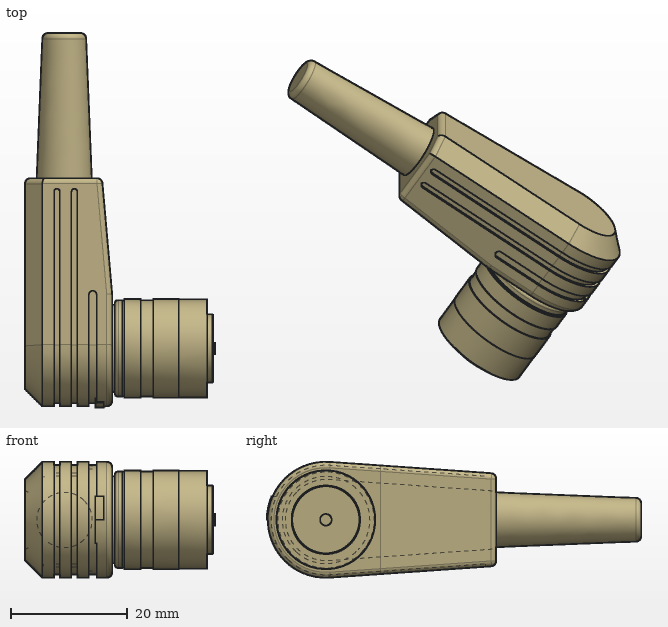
import math

import cadquery as cq


END_RADIUS = 9.975
TAPER_ANGLE = 4.0
HOUSING_WIDTH = 15.0
HOUSING_TOP = 29.25
SLOPE_START = 9.3
SLOPE_ANGLE = 5.0
BACK_CHAMFER = 3.0
EDGE_FILLET = 1.0

GROOVE_DEPTH = 0.55
GRIP_GROOVES = [(5.0, 6.0, 27.4), (8.0, 9.0, 27.4), (11.0, 12.3, 9.9)]

MARK_START = 12.1
MARK_END = 13.5
MARK_HEIGHT = 4.0
MARK_RISE = 0.175
MARK_ROOT = 8.0

SLEEVE_X = 6.75
SLEEVE_BASE_DIAMETER = 9.5
SLEEVE_TIP_DIAMETER = 7.5
SLEEVE_END = 54.15
SLEEVE_FILLET = 1.0
SLEEVE_EMBED = 3.0

NECK_DIAMETER = 15.0
NUT_START = 15.4
NUT_FILLET = 0.6
NUT_SECTIONS = [
    (16.75, 16.6),
    (17.05, 16.5),
    (19.85, 17.0),
    (22.0, 16.6),
    (26.45, 17.0),
    (31.3, 16.9),
]
NOSE_DIAMETER = 11.8
NOSE_END = 32.3
NOSE_CHAMFER = 0.15
PIN_DIAMETER = 2.0
PIN_END = 32.65


def cylinder(start, end, diameter):
    """Cylinder on the coupling axis."""
    return cq.Workplane("YZ").workplane(offset=start).circle(diameter / 2).extrude(end - start)


def housing_outline(inset=0.0):
    """Closed YZ outline: round end with two straight flanks, moved inwards by inset."""
    taper = math.radians(TAPER_ANGLE)
    radius = END_RADIUS - inset
    tangent_y = radius * math.sin(taper)
    tangent_z = radius * math.cos(taper)
    top_z = tangent_z - (HOUSING_TOP - tangent_y) * math.tan(taper)
    return (
        cq.Workplane("YZ")
        .moveTo(HOUSING_TOP, -top_z)
        .lineTo(tangent_y, -tangent_z)
        .threePointArc((-radius, 0), (tangent_y, tangent_z))
        .lineTo(HOUSING_TOP, top_z)
        .close()
    )


def leaning_cutter():
    """Wedge that trims the coupling side from SLOPE_START to the cable-side face."""
    length = HOUSING_TOP - SLOPE_START
    setback = length * math.tan(math.radians(SLOPE_ANGLE))
    return (
        cq.Workplane("XY")
        .moveTo(HOUSING_WIDTH, SLOPE_START)
        .lineTo(HOUSING_WIDTH, HOUSING_TOP)
        .lineTo(HOUSING_WIDTH - setback, HOUSING_TOP)
        .close()
        .extrude(END_RADIUS, both=True)
    )


def grip_groove(start, end, tip_y):
    """Cutter for one groove that follows the flanks and the round end."""
    half_width = (end - start) / 2
    middle = (start + end) / 2
    slot = (
        cq.Workplane("XY")
        .moveTo(start, -2 * END_RADIUS)
        .lineTo(start, tip_y - half_width)
        .threePointArc((middle, tip_y), (end, tip_y - half_width))
        .lineTo(end, -2 * END_RADIUS)
        .close()
        .extrude(2 * END_RADIUS, both=True)
    )
    return slot.cut(housing_outline(GROOVE_DEPTH).extrude(HOUSING_WIDTH))


def housing():
    """Tapered housing with its chamfer, lean, rounded rims and grip grooves."""
    body = housing_outline().extrude(HOUSING_WIDTH)
    body = body.faces("<X").edges("not >Y").chamfer(BACK_CHAMFER)
    body = body.cut(leaning_cutter())
    coupling_side = cq.selectors.BoxSelector(
        (HOUSING_WIDTH - 2 * EDGE_FILLET, -END_RADIUS, -END_RADIUS),
        (HOUSING_WIDTH + EDGE_FILLET, HOUSING_TOP - EDGE_FILLET, END_RADIUS),
    )
    coupling_rim = body.edges(coupling_side).edges("not |Z")
    cable_rim = body.faces(">Y").edges()
    body = body.newObject(coupling_rim.vals() + cable_rim.vals()).fillet(EDGE_FILLET)
    for start, end, tip_y in GRIP_GROOVES:
        body = body.cut(grip_groove(start, end, tip_y).cut(mark_step()))
    return body


def mark_block(bottom, top, reach):
    """Box around the mark's place on the round end, out to Y = -reach."""
    return cq.Workplane("XY").box(
        MARK_END - MARK_START, reach - MARK_ROOT, top - bottom, centered=False
    ).translate((MARK_START, -reach, bottom))


def mark_step():
    """Part of the last groove left uncut beside the mark."""
    return mark_block(-MARK_HEIGHT, 0, END_RADIUS + EDGE_FILLET)


def mark():
    """Raised sector just proud of the round end."""
    radius = END_RADIUS + MARK_RISE
    return cylinder(MARK_START, MARK_END, 2 * radius).intersect(mark_block(0, MARK_HEIGHT, radius))


def sleeve():
    """Cable sleeve that narrows towards its rounded tip."""
    base_radius = SLEEVE_BASE_DIAMETER / 2
    tip_radius = SLEEVE_TIP_DIAMETER / 2
    cone = (
        cq.Workplane("XY")
        .moveTo(0, HOUSING_TOP - SLEEVE_EMBED)
        .lineTo(base_radius, HOUSING_TOP - SLEEVE_EMBED)
        .lineTo(base_radius, HOUSING_TOP)
        .lineTo(tip_radius, SLEEVE_END)
        .lineTo(0, SLEEVE_END)
        .close()
        .revolve(360, (0, 0, 0), (0, 1, 0))
    )
    return cone.faces(">Y").edges().fillet(SLEEVE_FILLET).translate((SLEEVE_X, 0, 0))


def coupling():
    """Neck, stepped nut, nose and centre pin."""
    body = cylinder(HOUSING_WIDTH - EDGE_FILLET, NUT_START, NECK_DIAMETER)
    start = NUT_START
    for end, diameter in NUT_SECTIONS:
        section = cylinder(start, end, diameter)
        if start == NUT_START:
            section = section.faces("<X").edges().fillet(NUT_FILLET)
        body = body.union(section)
        start = end
    nose = cylinder(start, NOSE_END, NOSE_DIAMETER).faces(">X").edges().chamfer(NOSE_CHAMFER)
    pin = cylinder(start, PIN_END, PIN_DIAMETER)
    return body.union(nose).union(pin)


result = housing().union(mark()).union(sleeve()).union(coupling())